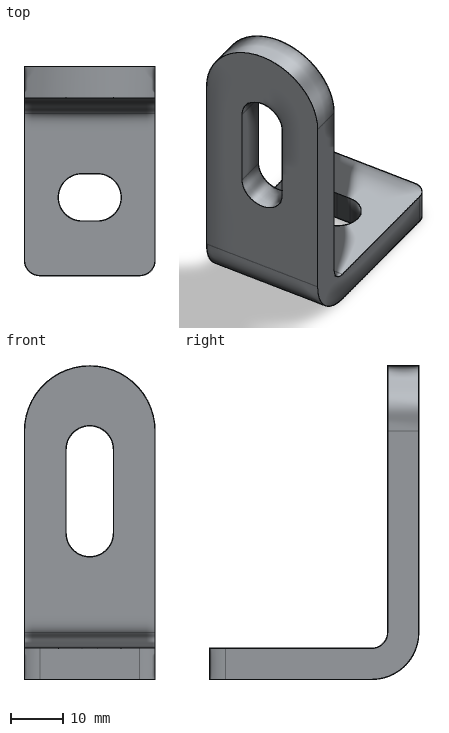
import cadquery as cq

width = 25.0
depth = 40.0
height = 60.0
thickness = 6.0

inner_bend_radius = 3.0
outer_bend_radius = inner_bend_radius + thickness
corner_radius = 3.0

slot_width = 9.0
upright_slot_length = 25.0
upright_slot_height = 36.0
foot_slot_length = 12.0
foot_slot_setback = 15.0


def bent_strip():
    """L-shaped strip: foot on the ground, upright at the back (Y = 0)."""
    profile = (
        cq.Workplane("YZ")
        .moveTo(-depth, 0)
        .lineTo(0, 0)
        .lineTo(0, height)
        .lineTo(-thickness, height)
        .lineTo(-thickness, thickness)
        .lineTo(-depth, thickness)
        .close()
    )
    strip = profile.extrude(width / 2, both=True)
    inner_bend = cq.selectors.NearestToPointSelector((0, -thickness, thickness))
    outer_bend = cq.selectors.NearestToPointSelector((0, 0, 0))
    strip = strip.edges(inner_bend).fillet(inner_bend_radius)
    return strip.edges(outer_bend).fillet(outer_bend_radius)


def upright_outline():
    """Full-height prism with a fully rounded top end."""
    shoulder = height - width / 2
    return (
        cq.Workplane("XZ")
        .moveTo(-width / 2, 0)
        .lineTo(width / 2, 0)
        .lineTo(width / 2, shoulder)
        .threePointArc((0, height), (-width / 2, shoulder))
        .close()
        .extrude(depth)
    )


def upright_slot():
    """Vertical slot through the upright."""
    return (
        cq.Workplane("XZ")
        .center(0, upright_slot_height)
        .slot2D(upright_slot_length, slot_width, 90)
        .extrude(thickness)
    )


def foot_slot():
    """Crosswise slot through the foot."""
    return (
        cq.Workplane("XY")
        .center(0, foot_slot_setback - depth)
        .slot2D(foot_slot_length, slot_width)
        .extrude(thickness)
    )


bracket = bent_strip().intersect(upright_outline())
bracket = bracket.faces("<Y").edges("|Z").fillet(corner_radius)
result = bracket.cut(upright_slot()).cut(foot_slot())